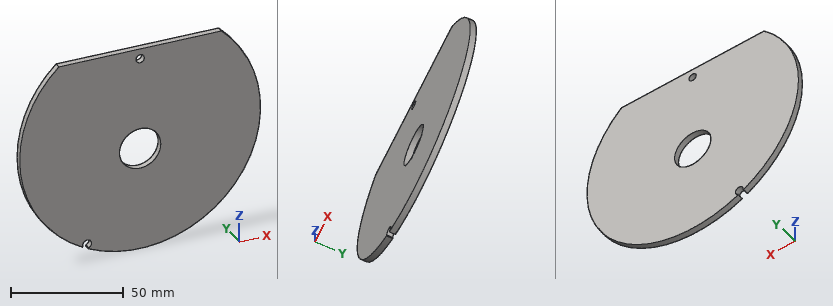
import cadquery as cq
import math

disc_diameter = 117.2
thickness = 3.0
height = 101.8
flat_z = height - disc_diameter / 2

bore_diameter = 20.0
bore_z = -7.5

pin_diameter = 4.0
pin_z = 38.2

notch_diameter = 4.2
notch_x = -25.8
notch_z = -50.4
mouth_width = 3.2
mouth_length = 4.7
mouth_angle = math.degrees(math.atan2(notch_z, notch_x))


def through_cylinder(diameter, x, z):
    """Cylinder along Y that spans the full plate thickness."""
    return (
        cq.Workplane("XZ")
        .center(x, z)
        .circle(diameter / 2)
        .extrude(thickness / 2, both=True)
    )


def notch_mouth():
    """Radial channel from the notch centre out past the rim."""
    channel = cq.Workplane("XY").box(
        mouth_length, thickness, mouth_width, centered=(False, True, True)
    )
    channel = channel.rotate((0, 0, 0), (0, 1, 0), -mouth_angle)
    return channel.translate((notch_x, 0, notch_z))


disc = through_cylinder(disc_diameter, 0, 0)
envelope = cq.Workplane("XY").box(disc_diameter, thickness, height)
envelope = envelope.translate((0, 0, flat_z - height / 2))
plate = disc.intersect(envelope)

plate = plate.cut(through_cylinder(bore_diameter, 0, bore_z))
plate = plate.cut(through_cylinder(pin_diameter, 0, pin_z))
plate = plate.cut(through_cylinder(notch_diameter, notch_x, notch_z))
plate = plate.cut(notch_mouth())

result = plate